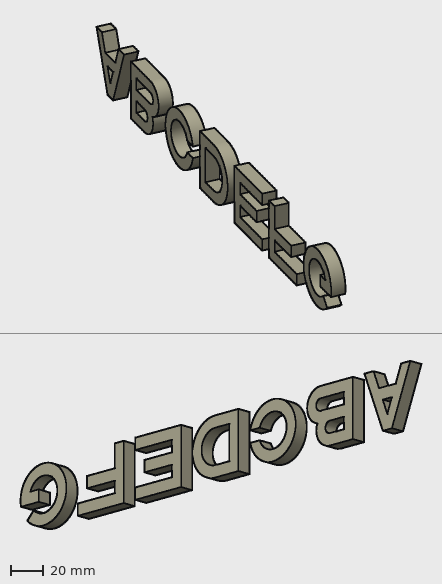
import cadquery as cq

size = 40.0
depth = 10.0
pitch = 50.0
strokes_per_letter = 5

stroke = size / strokes_per_letter
middle = size / 2
bar_bottom = middle - stroke / 2
bar_top = middle + stroke / 2
short_bar_end = size - stroke
outer_radius = size / 2
inner_radius = outer_radius - stroke


def front_plane(slot):
    """Sketch plane of one letter: X right, Z up, starting at the letter's lower left corner."""
    return cq.Workplane("XZ", origin=(slot * pitch, 0, 0))


def extrude_back(sketch):
    """Extrude a closed front outline towards +Y."""
    return sketch.extrude(-depth)


def polygon(slot, points):
    return extrude_back(front_plane(slot).polyline(points).close())


def block(slot, left, right, bottom, top):
    return polygon(slot, [(left, bottom), (right, bottom), (right, top), (left, top)])


def round_ended_block(slot, left, arc_center_x, bottom, top):
    """Block whose right end is a half circle as high as the block."""
    radius = (top - bottom) / 2
    return extrude_back(
        front_plane(slot)
        .moveTo(left, bottom)
        .lineTo(arc_center_x, bottom)
        .threePointArc((arc_center_x + radius, bottom + radius), (arc_center_x, top))
        .lineTo(left, top)
        .close()
    )


def ring(slot):
    return extrude_back(
        front_plane(slot).center(middle, middle).circle(outer_radius).circle(inner_radius)
    )


def inverted_a(slot):
    """Letter A standing on its tip."""
    tip_left = middle - stroke / 2
    tip_right = tip_left + stroke
    lean = tip_left / size
    valley_depth = 1.5 * stroke
    crossbar_top = size - valley_depth
    crossbar_bottom = crossbar_top - stroke
    valley_left = stroke + lean * (size - crossbar_top)
    hole_left = stroke + lean * (size - crossbar_bottom)
    hole_tip = size - (middle - stroke) / lean

    outline = polygon(slot, [
        (0, size),
        (tip_left, 0),
        (tip_right, 0),
        (size, size),
        (size - stroke, size),
        (size - valley_left, crossbar_top),
        (valley_left, crossbar_top),
        (stroke, size),
    ])
    hole = polygon(slot, [
        (hole_left, crossbar_bottom),
        (middle, hole_tip),
        (size - hole_left, crossbar_bottom),
    ])
    return outline.cut(hole)


def inverted_b(slot):
    """Letter B with the larger lobe on top; both lobes have the same radius."""
    lobe_height = 3 * stroke
    upper_center_x = size - lobe_height / 2
    lower_center_x = upper_center_x - stroke

    upper_lobe = round_ended_block(slot, 0, upper_center_x, size - lobe_height, size)
    lower_lobe = round_ended_block(slot, 0, lower_center_x, 0, lobe_height)
    upper_hole = round_ended_block(slot, stroke, upper_center_x, bar_top, size - stroke)
    lower_hole = round_ended_block(slot, stroke, lower_center_x, stroke, bar_bottom)
    return upper_lobe.union(lower_lobe).cut(upper_hole).cut(lower_hole)


def letter_c(slot):
    """Ring opened on the right by a horizontal gap."""
    return ring(slot).cut(block(slot, middle, size, bar_bottom, bar_top))


def letter_d(slot):
    outline = round_ended_block(slot, 0, middle, 0, size)
    hole = round_ended_block(slot, stroke, middle, stroke, size - stroke)
    return outline.cut(hole)


def letter_e(slot):
    return polygon(slot, [
        (0, 0),
        (size, 0),
        (size, stroke),
        (stroke, stroke),
        (stroke, bar_bottom),
        (short_bar_end, bar_bottom),
        (short_bar_end, bar_top),
        (stroke, bar_top),
        (stroke, size - stroke),
        (size, size - stroke),
        (size, size),
        (0, size),
    ])


def inverted_f(slot):
    """Letter F with its long bar at the bottom."""
    return polygon(slot, [
        (0, 0),
        (size, 0),
        (size, stroke),
        (stroke, stroke),
        (stroke, bar_bottom),
        (short_bar_end, bar_bottom),
        (short_bar_end, bar_top),
        (stroke, bar_top),
        (stroke, size),
        (0, size),
    ])


def inverted_g(slot):
    """Ring with an opening below its inward bar; the lower end is cut at 45 degrees."""
    bar_left = bar_bottom + stroke
    bar_right = size - stroke / 2

    opening = polygon(slot, [(bar_left, bar_bottom), (size, 0), (size, bar_bottom)])
    bar = block(slot, bar_left, bar_right, bar_bottom, bar_top)
    return ring(slot).cut(opening).union(bar)


letter_makers = [inverted_a, inverted_b, letter_c, letter_d, letter_e, inverted_f, inverted_g]
letters = [make_letter(slot) for slot, make_letter in enumerate(letter_makers)]

result = cq.Compound.makeCompound([letter.solids().val() for letter in letters])